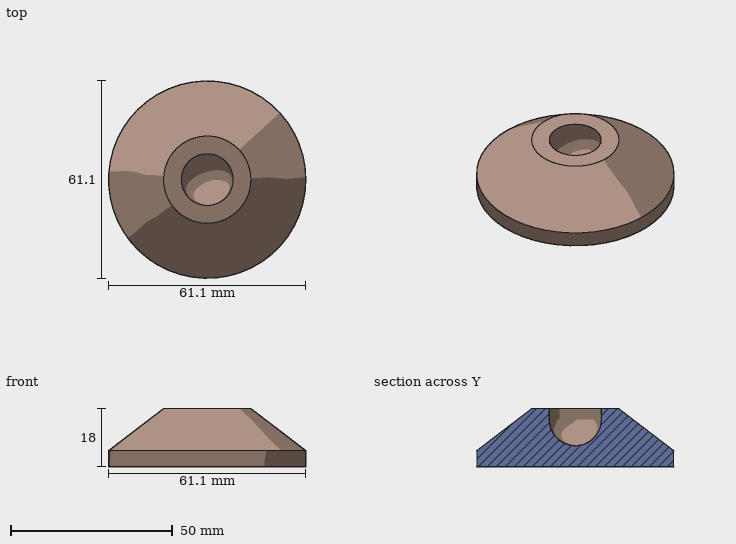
import cadquery as cq

base_diameter = 61.1
total_height = 18.0
rim_height = 5.0
top_diameter = 27.0

socket_diameter = 16.0
bore_depth = 3.5

base_radius = base_diameter / 2
top_radius = top_diameter / 2
socket_radius = socket_diameter / 2


def make_body():
    """Conical foot standing on a short cylindrical rim."""
    return (
        cq.Workplane("XZ")
        .moveTo(0, 0)
        .lineTo(base_radius, 0)
        .lineTo(base_radius, rim_height)
        .lineTo(top_radius, total_height)
        .lineTo(0, total_height)
        .close()
        .revolve(360, (0, 0, 0), (0, 1, 0))
    )


def make_socket():
    """Solid to remove: the bore and the hemisphere below it."""
    seat_height = total_height - bore_depth
    bore = cq.Workplane("XY").workplane(offset=seat_height).circle(socket_radius).extrude(bore_depth)
    ball = cq.Workplane("XY").sphere(socket_radius).translate((0, 0, seat_height))
    return bore.union(ball)


result = make_body().cut(make_socket())